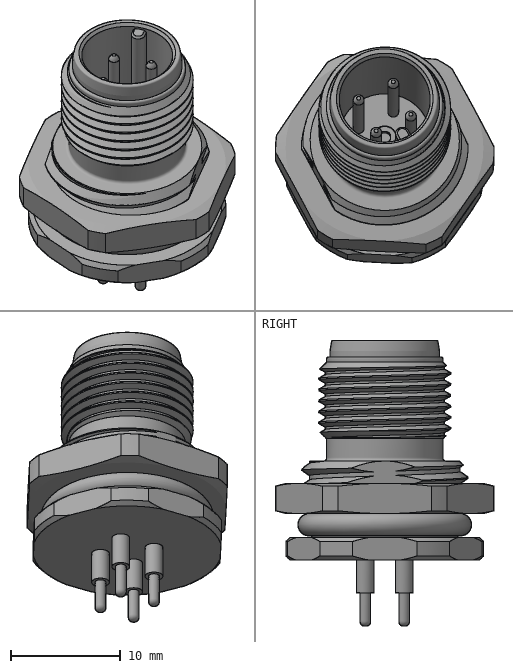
import cadquery as cq
import math

height = 26.0
solder_step_z = 3.05
flange_bottom_z = 6.0
flange_top_z = 8.09
nut_bottom_z = 10.25
nut_top_z = 13.0
body_top_z = 15.03
plug_thread_bottom_z = 17.05
plug_thread_top_z = 24.02
collar_top_z = 24.5
nose_taper_z = 25.0
cavity_floor_z = 16.12
key_top_z = 25.53
contact_tip_z = 23.97

nose_radius = 5.0
nose_tip_radius = 4.85
nose_edge_fillet = 0.15
collar_radius = 5.3
collar_fillet = 0.18
shoulder_fillet = 0.29
plug_turns = 7
plug_turns_height = 7.0
plug_pitch = plug_turns_height / plug_turns
plug_root_radius = 5.43
plug_crest_radius = 6.0
plug_crest_width = 0.13
plug_flank_angle = 30.0
plug_crest_z = 22.75

envelope_clearance = 0.05

panel_pitch = 1.5
panel_root_radius = 6.86
panel_crest_radius = 7.6
panel_top_radius = 6.79
panel_flat_width = 13.57
panel_crest_width = 0.1
panel_flank_angle = 35.0
panel_crest_z = 13.13

nut_width = 18.0
nut_corner_diameter = 19.9
nut_corner_radius = nut_corner_diameter / 2
nut_chamfer_height = 0.25
flange_width = 17.0
flange_corner_radius = 9.0
flange_chamfer = 0.4

ring_section_radius = 1.01
ring_center_radius = 6.9
seat_radius = 6.65

cavity_radius = 4.13
cavity_mouth_radius = 4.4
cavity_mouth_depth = 0.25
key_radius = 0.62
key_center_y = 3.55
key_chamfer = 0.18
contact_offset = 1.77
contact_radius = 0.5
contact_tip_radius = 0.18
contact_tip_length = 0.47
contact_tip_curve = 0.78
solder_radius = 0.8
solder_tip_fillet = 0.42
center_recess_radius = 1.01
center_recess_depth = 0.13
center_hole_radius = 0.55
center_hole_depth = 0.52


def cylinder(radius, bottom, top):
    return cq.Workplane("XY").workplane(offset=bottom).circle(radius).extrude(top - bottom)


def revolve_outline(points):
    """Turn an outline of (radius, height) points around the Z axis."""
    return cq.Workplane("XZ").polyline(points).close().revolve(360, (0, 0, 0), (0, 1, 0))


def thread(root, crest, pitch, crest_width, flank_angle, crest_z, bottom, top):
    """Right-handed thread with a crest at crest_z on the +X side, reaching past bottom and top."""
    overlap = 0.08
    slope = math.tan(math.radians(flank_angle))
    half_crest = crest_width / 2
    half_base = half_crest + (crest - root + overlap) * slope
    start_z = crest_z - pitch * math.ceil((crest_z - bottom) / pitch + 1)
    turns = math.ceil((top - start_z) / pitch) + 1
    helix = cq.Wire.makeHelix(pitch, turns * pitch, root).translate(cq.Vector(0, 0, start_z))
    ridge = (
        cq.Workplane("XZ")
        .polyline([
            (root - overlap, start_z - half_base),
            (crest, start_z - half_crest),
            (crest, start_z + half_crest),
            (root - overlap, start_z + half_base),
        ])
        .close()
        .sweep(cq.Workplane(obj=helix), isFrenet=True)
    )
    core = cylinder(root, start_z - pitch, start_z + (turns + 1) * pitch)
    return core.union(ridge)


def hexagon(width, bottom, top):
    """Hexagonal prism with two of its flats facing -X and +X."""
    return (
        cq.Workplane("XY")
        .workplane(offset=bottom)
        .polygon(6, width, circumscribed=True)
        .extrude(top - bottom)
    )


def turned_hexagon(width, corner_radius, chamfer_length, chamfer_width, bottom, top):
    """Hexagon with corners turned to a cylinder and chamfered at both faces."""
    blank = cylinder(corner_radius, bottom, top).faces("<Z or >Z").chamfer(chamfer_length, chamfer_width)
    return hexagon(width, bottom, top).intersect(blank)


def make_plug_thread():
    rim_radius = plug_crest_radius + envelope_clearance
    rise = rim_radius - collar_radius
    envelope = revolve_outline([
        (0, plug_thread_bottom_z),
        (collar_radius, plug_thread_bottom_z),
        (rim_radius, plug_thread_bottom_z + rise),
        (rim_radius, plug_thread_top_z - rise),
        (collar_radius, plug_thread_top_z),
        (0, plug_thread_top_z),
    ])
    ridges = thread(
        plug_root_radius, plug_crest_radius, plug_pitch, plug_crest_width, plug_flank_angle,
        plug_crest_z, plug_thread_bottom_z, plug_thread_top_z,
    )
    return ridges.intersect(envelope)


def make_panel_thread():
    rim_radius = panel_crest_radius + envelope_clearance
    rise = rim_radius - panel_top_radius
    envelope = revolve_outline([
        (0, nut_bottom_z),
        (rim_radius, nut_bottom_z),
        (rim_radius, body_top_z - rise),
        (panel_top_radius, body_top_z),
        (0, body_top_z),
    ])
    ridges = thread(
        panel_root_radius, panel_crest_radius, panel_pitch, panel_crest_width, panel_flank_angle,
        panel_crest_z, nut_bottom_z, body_top_z,
    )
    flats = (
        cq.Workplane("XY")
        .workplane(offset=nut_bottom_z)
        .rect(panel_flat_width, 3 * panel_crest_radius)
        .extrude(body_top_z - nut_bottom_z)
    )
    return ridges.intersect(envelope.intersect(flats))


def make_cavity():
    return revolve_outline([
        (0, cavity_floor_z),
        (cavity_radius, cavity_floor_z),
        (cavity_radius, height - cavity_mouth_depth),
        (cavity_mouth_radius, height),
        (0, height),
    ])


def make_center_recess():
    recess = cylinder(center_recess_radius, cavity_floor_z - center_recess_depth, cavity_floor_z)
    return recess.union(cylinder(center_hole_radius, cavity_floor_z - center_hole_depth, cavity_floor_z))


def make_key():
    """Rounded coding rib that grows out of the +Y side of the cavity wall."""
    wall_y = (cavity_radius + nose_tip_radius) / 2
    length = wall_y - key_center_y
    rib = (
        cq.Workplane("XY")
        .workplane(offset=cavity_floor_z)
        .center(0, key_center_y)
        .moveTo(-key_radius, length)
        .lineTo(-key_radius, 0)
        .threePointArc((0, -key_radius), (key_radius, 0))
        .lineTo(key_radius, length)
        .close()
        .extrude(key_top_z - cavity_floor_z)
        .faces(">Z")
        .edges("not >Y")
        .chamfer(key_chamfer)
    )
    return rib.intersect(cylinder(wall_y, cavity_floor_z, key_top_z))


def make_sleeve():
    """Relief with a filleted foot, then the collar and nose above the plug thread."""
    relief = (
        cq.Workplane("XZ")
        .moveTo(0, body_top_z)
        .lineTo(collar_radius + shoulder_fillet, body_top_z)
        .radiusArc((collar_radius, body_top_z + shoulder_fillet), shoulder_fillet)
        .lineTo(collar_radius, plug_thread_bottom_z)
        .lineTo(0, plug_thread_bottom_z)
        .close()
        .revolve(360, (0, 0, 0), (0, 1, 0))
    )
    nose = (
        cq.Workplane("XZ")
        .moveTo(0, plug_thread_top_z)
        .lineTo(collar_radius, plug_thread_top_z)
        .lineTo(collar_radius, collar_top_z - collar_fillet)
        .radiusArc((collar_radius - collar_fillet, collar_top_z), -collar_fillet)
        .lineTo(nose_radius, collar_top_z)
        .lineTo(nose_radius, nose_taper_z)
        .lineTo(nose_tip_radius, height - nose_edge_fillet)
        .radiusArc((nose_tip_radius - nose_edge_fillet, height), -nose_edge_fillet)
        .lineTo(0, height)
        .close()
        .revolve(360, (0, 0, 0), (0, 1, 0))
    )
    solid = relief.union(make_plug_thread()).union(nose)
    return solid.cut(make_cavity()).cut(make_center_recess()).union(make_key())


def make_pin():
    """Separate sections of one pin: contact in the cavity, thick solder pin and thin tail."""
    contact = (
        cq.Workplane("XZ")
        .moveTo(0, cavity_floor_z)
        .lineTo(contact_radius, cavity_floor_z)
        .lineTo(contact_radius, contact_tip_z - contact_tip_length)
        .radiusArc((contact_tip_radius, contact_tip_z), -contact_tip_curve)
        .lineTo(0, contact_tip_z)
        .close()
        .revolve(360, (0, 0, 0), (0, 1, 0))
    )
    tail = cylinder(contact_radius, 0, solder_step_z).faces("<Z").edges().fillet(solder_tip_fillet)
    return [contact, cylinder(solder_radius, solder_step_z, flange_bottom_z), tail]


nut = turned_hexagon(
    nut_width, nut_corner_radius, nut_chamfer_height, nut_corner_radius - nut_width / 2,
    nut_bottom_z, nut_top_z,
)
flange = turned_hexagon(
    flange_width, flange_corner_radius, flange_chamfer, flange_chamfer, flange_bottom_z, flange_top_z
)
ring = (
    cq.Workplane("XZ")
    .center(ring_center_radius, nut_bottom_z - ring_section_radius)
    .circle(ring_section_radius)
    .revolve(360, (-ring_center_radius, 0, 0), (-ring_center_radius, 1, 0))
)
seat = cylinder(seat_radius, flange_top_z, nut_bottom_z)

result = nut.union(flange).union(ring).union(seat).union(make_panel_thread()).union(make_sleeve())
for x in (-contact_offset, contact_offset):
    for y in (-contact_offset, contact_offset):
        for section in make_pin():
            result = result.union(section.translate((x, y, 0)))